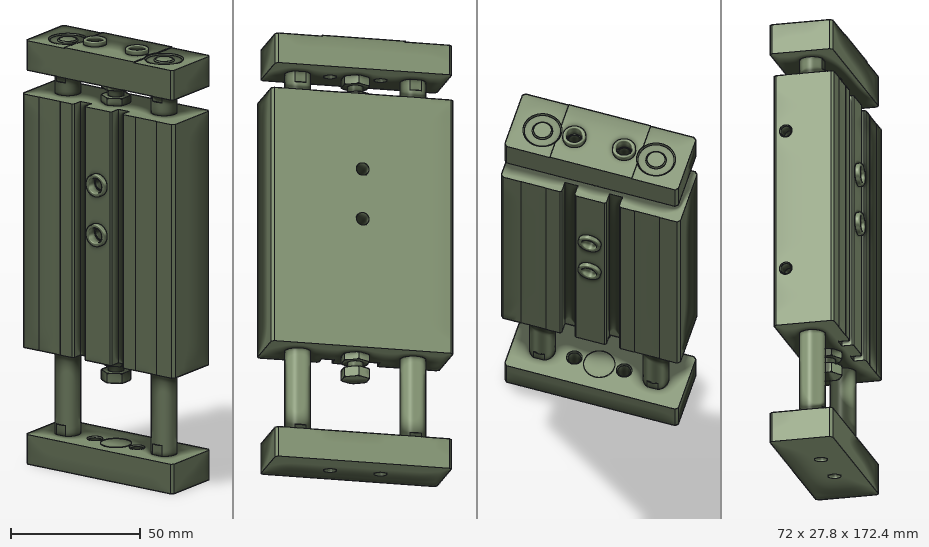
import cadquery as cq
import math


housing_width = 72.0
housing_depth = 24.0
housing_length = 101.9
housing_bottom = 46.9
edge_chamfer = 1.0

plate_width = 69.8
plate_depth = 25.0
plate_thickness = 11.9
plate_setback = 0.9
yoke_height = 170.2
pad_top = 170.5
pad_width = 33.0

rod_diameter = 10.0
rod_spacing = 45.7
flat_across = 9.0
flat_length = 4.3
rod_recess_diameter = 15.0
rod_recess_floor_diameter = 14.0
rod_end_diameter = 8.0
rod_end_chamfer = 0.5
stop_seat_diameter = 12.0
stop_seat_depth = 0.2

sleeve_diameter = 9.0
sleeve_bore = 6.0
sleeve_length = 4.0
sleeve_protrusion = 1.9
sleeve_fillet = 0.5
sleeve_spacing = 20.0
lower_housing_sleeve_z = 98.5
screw_hole_diameter = 5.0
screw_hole_chamfer = 0.5

slot_offset = 9.0
slot_width = 5.2
slot_depth = 4.7
slot_chamfer = 0.6

strip_depth = 0.09
strip_width = rod_diameter

port_diameter = 5.0
port_core_diameter = 4.1
port_depth = 6.0
port_cone_angle = 118
port_y = 7.0
port_heights = (69.8, 125.9)

hex_across = 10.0
hex_chamfer = 0.3
top_head_height = 3.5
bottom_head_height = 4.0
nut_height = 3.0
shank_diameter = 6.0
shank_engagement = 10.0
bottom_shank_gap = 2.8

housing_top = housing_bottom + housing_length
upper_plate_bottom = yoke_height - plate_thickness
top_shank_gap = upper_plate_bottom - housing_top - nut_height - top_head_height
housing_front = -housing_depth / 2
plate_front = housing_front + plate_setback
plate_center_y = plate_front + plate_depth / 2
rod_recess_depth = (rod_recess_diameter - rod_recess_floor_diameter) / 2
port_chamfer = (port_diameter - port_core_diameter) / 2
rod_places = [(-rod_spacing / 2, 0), (rod_spacing / 2, 0)]
plate_hole_places = [(-sleeve_spacing / 2, 0), (sleeve_spacing / 2, 0)]
housing_sleeve_heights = [lower_housing_sleeve_z, lower_housing_sleeve_z + sleeve_spacing]
sleeve_seat_depth = sleeve_length - sleeve_protrusion
front_direction = cq.Vector(0, -1, 0)
up_direction = cq.Vector(0, 0, 1)
hex_corner_diameter = hex_across / math.cos(math.pi / 6)


def cylinders(places, diameter, bottom, top):
    """Upright cylinders at the given XY places."""
    return cq.Workplane().workplane(offset=bottom).pushPoints(places).circle(diameter / 2).extrude(top - bottom)


def chamfered_block(width, depth, height):
    """Block standing on Z = 0 with its four upright edges chamfered."""
    block = cq.Workplane().box(width, depth, height, centered=(True, True, False))
    return block.edges("|Z").chamfer(edge_chamfer)


def sleeve_seat(face_point, outward, through_length):
    """Cutter for a sleeve recess with a screw hole running on behind it."""
    inward = outward * -1
    seat = cq.Solid.makeCylinder(sleeve_diameter / 2, sleeve_seat_depth, face_point, inward)
    hole = cq.Solid.makeCylinder(screw_hole_diameter / 2, through_length, face_point, inward)
    return cq.Workplane(seat.fuse(hole))


def make_slot_cutter(side):
    """Sensor slot in the front face, with a chamfered mouth."""
    center = side * slot_offset
    half = slot_width / 2
    mouth_half = half + slot_chamfer
    floor_y = housing_front + slot_depth
    neck_y = housing_front + slot_chamfer
    outline = [
        (center - mouth_half, housing_front),
        (center - half, neck_y),
        (center - half, floor_y),
        (center + half, floor_y),
        (center + half, neck_y),
        (center + mouth_half, housing_front),
    ]
    return cq.Workplane().workplane(offset=housing_bottom).polyline(outline).close().extrude(housing_length)


def make_port_cutter(height):
    """Blind air port in the -X side: chamfered mouth, bore and drill point."""
    core_radius = port_core_diameter / 2
    tip_length = core_radius / math.tan(math.radians(port_cone_angle / 2))
    profile = [
        (0, 0),
        (port_diameter / 2, 0),
        (core_radius, port_chamfer),
        (core_radius, port_depth),
        (0, port_depth + tip_length),
    ]
    side_plane = cq.Plane(
        origin=(-housing_width / 2, port_y, height), xDir=(0, 0, 1), normal=(0, 1, 0)
    )
    return cq.Workplane(side_plane).polyline(profile).close().revolve(360, (0, 0, 0), (0, 1, 0))


def make_housing():
    body = chamfered_block(housing_width, housing_depth, housing_length)
    body = body.translate((0, 0, housing_bottom))
    body = body.cut(cylinders(rod_places, rod_diameter, housing_bottom, housing_top))
    for side in (-1, 1):
        body = body.cut(make_slot_cutter(side))
    for x, y in rod_places:
        strip = cq.Workplane().box(strip_width, 2 * strip_depth, housing_length, centered=(True, True, False))
        body = body.cut(strip.translate((x, housing_front, housing_bottom)))
    for height in port_heights:
        body = body.cut(make_port_cutter(height))
    for height in housing_sleeve_heights:
        face_point = cq.Vector(0, housing_front, height)
        body = body.cut(sleeve_seat(face_point, front_direction, housing_depth))
    stop_axis = [(0, 0)]
    body = body.cut(cylinders(stop_axis, shank_diameter, housing_bottom, housing_bottom + shank_engagement))
    return body.cut(cylinders(stop_axis, shank_diameter, housing_top - shank_engagement, housing_top))


def make_countersinks():
    """Cones that open the lower plate's screw holes at the top."""
    mouth_diameter = screw_hole_diameter + 2 * screw_hole_chamfer
    cones = cq.Workplane()
    for x, y in plate_hole_places:
        cone = cq.Solid.makeCone(
            screw_hole_diameter / 2, mouth_diameter / 2, screw_hole_chamfer,
            cq.Vector(x, y, plate_thickness - screw_hole_chamfer), up_direction,
        )
        cones = cones.add(cone)
    return cones.combine()


def make_lower_plate():
    plate = chamfered_block(plate_width, plate_depth, plate_thickness)
    plate = plate.translate((0, plate_center_y, 0))
    seat_floor = plate_thickness - stop_seat_depth
    plate = plate.cut(cylinders([(0, 0)], stop_seat_diameter, seat_floor, plate_thickness))
    plate = plate.cut(cylinders(plate_hole_places, screw_hole_diameter, 0, plate_thickness))
    return plate.cut(make_countersinks())


def make_rod_recess(x, y):
    """Cutter for the tapered recess around a rod end, open through the raised pad."""
    taper = cq.Solid.makeCone(
        rod_recess_floor_diameter / 2, rod_recess_diameter / 2, rod_recess_depth,
        cq.Vector(x, y, yoke_height - rod_recess_depth), up_direction,
    )
    opening = cylinders([(x, y)], rod_recess_diameter, yoke_height, pad_top)
    return opening.union(cq.Workplane(taper))


def make_upper_plate():
    plate = chamfered_block(plate_width, plate_depth, plate_thickness)
    plate = plate.translate((0, plate_center_y, upper_plate_bottom))
    pad = cq.Workplane().box(pad_width, plate_depth, pad_top - yoke_height, centered=(True, True, False))
    plate = plate.union(pad.translate((0, plate_center_y, yoke_height)))
    for x, y in rod_places:
        plate = plate.cut(make_rod_recess(x, y))
    rod_ends = cylinders(rod_places, rod_end_diameter, upper_plate_bottom, yoke_height)
    plate = plate.union(rod_ends.faces(">Z").edges().chamfer(rod_end_chamfer))
    for x, y in plate_hole_places:
        plate = plate.cut(sleeve_seat(cq.Vector(x, y, pad_top), up_direction, pad_top))
    return plate


def make_rods():
    """Both rods between the plates, with wrench flats at each end."""
    rods = cylinders(rod_places, rod_diameter, plate_thickness, upper_plate_bottom)
    cut_depth = (rod_diameter - flat_across) / 2
    cut_y = (rod_diameter + flat_across) / 4
    for x, y in rod_places:
        for flat_center in (plate_thickness + flat_length / 2, upper_plate_bottom - flat_length / 2):
            for side in (-1, 1):
                flat_cut = cq.Workplane().box(rod_diameter, cut_depth, flat_length)
                rods = rods.cut(flat_cut.translate((x, y + side * cut_y, flat_center)))
    return rods


def make_yoke():
    return make_lower_plate().union(make_rods()).union(make_upper_plate())


def hex_block(height):
    """Hexagon on Z = 0 with flats facing +X and -X and its corners turned conical at both ends."""
    block = cq.Workplane().polygon(6, hex_corner_diameter).extrude(height).rotate((0, 0, 0), (0, 0, 1), 90)
    turned = cq.Workplane().circle(hex_corner_diameter / 2).extrude(height)
    return block.intersect(turned.faces("<Z or >Z").edges().chamfer(hex_chamfer))


def make_nut():
    """Lock nut resting on Z = 0."""
    return hex_block(nut_height).cut(cylinders([(0, 0)], shank_diameter, 0, nut_height))


def make_screw(shank_gap, head_height):
    """Stop screw pointing up, with Z = 0 at the housing face it enters."""
    head_bottom = nut_height + shank_gap
    shank = cylinders([(0, 0)], shank_diameter, -shank_engagement, head_bottom)
    return hex_block(head_height).translate((0, 0, head_bottom)).union(shank)


def at_housing_top(part):
    return part.translate((0, 0, housing_top))


def at_housing_bottom(part):
    return part.mirror("XY").translate((0, 0, housing_bottom))


def make_sleeve(face_point, outward):
    """Sleeve standing out of a face, rounded at its free end."""
    base = face_point - outward * sleeve_seat_depth
    sleeve = cq.Workplane(cq.Plane(origin=base, normal=outward))
    sleeve = sleeve.circle(sleeve_diameter / 2).circle(sleeve_bore / 2).extrude(sleeve_length)
    free_end = cq.selectors.DirectionMinMaxSelector(outward)
    return sleeve.faces(free_end).edges().fillet(sleeve_fillet)


def make_sleeves():
    sleeves = []
    for height in housing_sleeve_heights:
        sleeves.append(make_sleeve(cq.Vector(0, housing_front, height), front_direction).val())
    for x, y in plate_hole_places:
        sleeves.append(make_sleeve(cq.Vector(x, y, pad_top), up_direction).val())
    return sleeves


housing = make_housing()
yoke = make_yoke()
top_screw = at_housing_top(make_screw(top_shank_gap, top_head_height))
bottom_screw = at_housing_bottom(make_screw(bottom_shank_gap, bottom_head_height))
top_nut = at_housing_top(make_nut())
bottom_nut = at_housing_bottom(make_nut())

result = cq.Compound.makeCompound([
    housing.val(),
    yoke.val(),
    top_screw.val(),
    bottom_screw.val(),
    top_nut.val(),
    bottom_nut.val(),
    *make_sleeves(),
])